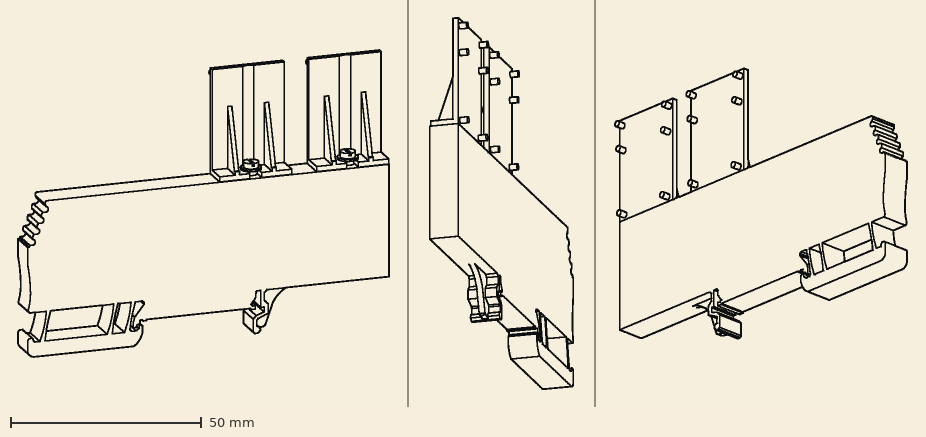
import cadquery as cq


length = 100.2
width = 7.9
housing_top = 42.7
rear_floor = 11.7
rail_floor = 7.0
front_floor = 12.2

top_front_y = 4.8
top_corner_radius = 0.6
seat_bead = 0.3

notch_count = 4
notch_step_y = 1.2
notch_step_z = 2.9
notch_back_y = 5.7
notch_mouth_y = 5.1
notch_floor_end_y = 4.2
notch_tip_y = 3.8
notch_floor_z = 39.6
notch_height = 1.5
tip_drop = 0.8

foot_top = 4.1
foot_corner_radius = 1.9
foot_lip_top = 5.2
foot_lip_radius = 0.8
leg_starts_y = (29.9, 25.1, 6.4)
leg_sweep = 1.6
leg_top_width = 1.2
leg_bottom_width = 1.4
leg_middle_z = (front_floor + foot_top) / 2
leg_middle_sweep = 1.0
leg_middle_width = 0.8

web_thickness = 1.6
web_x = (width - web_thickness) / 2

bracket_length = 20.0
bracket_rear_ends = (length, length - 26.9)
plate_thickness = 1.5
plate_top = 71.8
base_width = 7.6
base_thickness = 1.4
base_top = housing_top + base_thickness

gusset_thickness = 1.2
gusset_offset = 5.1
gusset_height = 17.0
gusset_toe_width = 0.6
gusset_toe_height = 0.9

pin_length = 2.1
pin_radius = 0.8
pin_rows = ((69.9, 8.8), (62.7, 8.4), (44.1, 8.1))

screw_x = 3.7
flange_radius = 2.7
flange_thickness = 0.5
head_radius = 2.0
head_height = 1.5
shank_radius = 1.6
thread_depth = 4.0
driver_slot_width = 0.6
driver_slot_depth = 0.7


def housing_outline():
    """Side outline of the housing's main body, clip included."""
    outline = cq.Workplane("YZ").moveTo(length, rear_floor).lineTo(length, housing_top)
    outline = outline.lineTo(top_front_y + top_corner_radius, housing_top)
    outline = outline.tangentArcPoint((top_front_y, housing_top - top_corner_radius), relative=False)
    outline = outline.lineTo(top_front_y, 41.8)

    outline = outline.lineTo(notch_mouth_y, notch_floor_z + notch_height)
    for i in range(notch_count):
        dy = -i * notch_step_y
        floor_z = notch_floor_z - i * notch_step_z
        outline = outline.threePointArc(
            (notch_back_y + dy, floor_z + notch_height / 2), (notch_mouth_y + dy, floor_z)
        )
        outline = outline.lineTo(notch_floor_end_y + dy, floor_z)
        if i < notch_count - 1:
            outline = outline.threePointArc(
                (notch_tip_y + dy, floor_z - tip_drop),
                (notch_mouth_y + dy - notch_step_y, floor_z - notch_step_z + notch_height),
            )

    outline = outline.lineTo(0.4, 30.4).lineTo(0, 30.4).lineTo(0, 25.6)
    outline = outline.threePointArc((0.04, 25.3), (0.14, 25.0))
    outline = outline.threePointArc((0.6, 21.3), (0.8, 17.6))
    outline = outline.threePointArc((0.6, 15.1), (0.2, 13.2))
    outline = outline.threePointArc((0.2, 12.6), (0.6, front_floor))

    outline = outline.lineTo(31.8, front_floor).lineTo(32.3, 11.8).lineTo(32.3, 11.3)
    outline = outline.lineTo(29.7, 8.0).lineTo(29.3, 6.6).lineTo(29.3, 5.1)
    outline = outline.lineTo(30.1, 5.1).lineTo(30.3, 5.8).lineTo(31.2, 6.1)
    outline = outline.lineTo(31.2, rail_floor).lineTo(31.9, rail_floor)
    outline = outline.lineTo(32.1, rail_floor - seat_bead).lineTo(32.9, rail_floor - seat_bead)
    outline = outline.lineTo(33.1, rail_floor)

    outline = outline.lineTo(61.9, rail_floor)
    outline = outline.lineTo(61.9, rail_floor - seat_bead).lineTo(63.2, rail_floor - seat_bead)
    outline = outline.lineTo(63.2, 7.8).lineTo(62.5, 7.6).lineTo(62.0, 8.1)
    outline = outline.lineTo(63.2, 9.7).lineTo(63.4, 11.3).lineTo(63.6, rear_floor)

    outline = outline.lineTo(64.7, rear_floor).lineTo(64.7, 7.0).lineTo(65.6, 7.0)
    outline = outline.lineTo(65.6, 5.7).lineTo(63.4, 4.9).lineTo(62.6, 4.0)
    outline = outline.lineTo(62.6, 0.4).lineTo(63.0, 0).lineTo(63.9, 0)
    outline = outline.lineTo(64.6, 0.7).threePointArc((64.4, 1.5), (63.6, 1.9))
    outline = outline.lineTo(63.6, 3.6).lineTo(64.0, 4.0).lineTo(65.7, 4.8)
    outline = outline.lineTo(66.8, 5.2).lineTo(66.8, 7.7).lineTo(65.7, 8.9)
    return outline.lineTo(65.7, 11.0).lineTo(66.4, rear_floor).close()


def foot():
    """Foot bar with a raised lip at the front and a hooked nose at the rear."""
    outline = cq.Workplane("YZ").moveTo(29.4, 0).lineTo(foot_corner_radius, 0)
    outline = outline.tangentArcPoint((0, foot_corner_radius), relative=False)
    outline = outline.lineTo(0, foot_lip_top - foot_lip_radius)
    outline = outline.tangentArcPoint((foot_lip_radius, foot_lip_top), relative=False)
    outline = outline.lineTo(1.3, foot_lip_top)
    outline = outline.lineTo(1.9, foot_top).lineTo(27.1, foot_top).lineTo(28.4, 6.0)
    outline = outline.lineTo(28.4, 4.8).lineTo(28.8, 4.2).lineTo(30.1, 4.2)
    outline = outline.lineTo(30.9, 4.8).lineTo(30.9, 5.8).lineTo(31.9, 5.4)
    outline = outline.lineTo(31.9, 3.6).threePointArc((31.3, 2.0), (30.3, 0.6))
    return outline.close().extrude(width)


def leg(rear_y):
    """Curved leg that carries the foot below the housing."""
    bottom_y = rear_y - leg_sweep
    middle_y = rear_y - leg_middle_sweep
    outline = cq.Workplane("YZ").moveTo(rear_y, front_floor)
    outline = outline.threePointArc((middle_y, leg_middle_z), (bottom_y, foot_top))
    outline = outline.lineTo(bottom_y - leg_bottom_width, foot_top)
    outline = outline.threePointArc(
        (middle_y - leg_middle_width, leg_middle_z), (rear_y - leg_top_width, front_floor)
    )
    return outline.close().extrude(width)


def clip_web():
    """Thin web behind the clip arm, under the housing's rear floor."""
    outline = cq.Workplane("YZ", origin=(web_x, 0, 0)).moveTo(76.0, rear_floor)
    outline = outline.threePointArc((71.9, 10.1), (69.2, 7.1)).lineTo(67.0, 0.9)
    outline = outline.lineTo(66.4, 0.6).lineTo(63.7, 0.2).lineTo(63.2, 4.2)
    return outline.lineTo(66.2, 5.2).lineTo(65.2, rear_floor).close().extrude(web_thickness)


def cylinder_up(y, bottom_z, radius, height):
    """Vertical cylinder on a screw axis."""
    return cq.Workplane("XY", origin=(screw_x, y, bottom_z)).circle(radius).extrude(height)


def make_housing():
    """Housing with its foot and clip, and a blind hole for each screw."""
    body = housing_outline().extrude(width).union(foot()).union(clip_web())
    for rear_y in leg_starts_y:
        body = body.union(leg(rear_y))
    for rear_end in bracket_rear_ends:
        middle = rear_end - bracket_length / 2
        body = body.cut(cylinder_up(middle, housing_top - thread_depth, shank_radius, thread_depth))
    return body


def gusset(middle_y):
    """Triangular rib between the plate and the base."""
    outline = cq.Workplane("XZ", origin=(0, middle_y + gusset_thickness / 2, base_top))
    outline = outline.moveTo(plate_thickness, 0).lineTo(plate_thickness, gusset_height)
    outline = outline.lineTo(base_width - gusset_toe_width, gusset_toe_height)
    outline = outline.lineTo(base_width, gusset_toe_height).lineTo(base_width, 0)
    return outline.close().extrude(gusset_thickness)


def make_bracket(rear_end):
    """L-shaped marker bracket with gussets, pins and room for its screw."""
    middle = rear_end - bracket_length / 2

    profile = cq.Workplane("XZ", origin=(0, rear_end, 0)).moveTo(0, housing_top)
    profile = profile.lineTo(base_width, housing_top).lineTo(base_width, base_top)
    profile = profile.lineTo(plate_thickness, base_top).lineTo(plate_thickness, plate_top)
    bracket = profile.lineTo(0, plate_top).close().extrude(bracket_length)

    for side in (-1, 1):
        bracket = bracket.union(gusset(middle + side * gusset_offset))
        for pin_z, pin_offset in pin_rows:
            pin = cq.Workplane("YZ").center(middle + side * pin_offset, pin_z)
            bracket = bracket.union(pin.circle(pin_radius).extrude(-pin_length))

    slot = cylinder_up(middle, housing_top, shank_radius, base_thickness).union(
        cq.Workplane("XY", origin=(screw_x, middle - shank_radius, housing_top))
        .rect(base_width - screw_x, 2 * shank_radius, centered=False)
        .extrude(base_thickness)
    )
    groove = cylinder_up(middle, base_top, flange_radius, plate_top - base_top)
    return bracket.cut(slot).cut(groove)


def make_screw(rear_end):
    """Flanged screw with a driver slot."""
    middle = rear_end - bracket_length / 2
    flange_top = base_top + flange_thickness
    head_top = flange_top + head_height

    shank = cylinder_up(middle, housing_top - thread_depth, shank_radius, thread_depth + base_thickness)
    flange = cylinder_up(middle, base_top, flange_radius, flange_thickness)
    head = cylinder_up(middle, flange_top, head_radius, head_height)
    driver_slot = cq.Workplane("XY", origin=(screw_x, middle, head_top))
    driver_slot = driver_slot.rect(2 * head_radius, driver_slot_width).extrude(-driver_slot_depth)
    return shank.union(flange).union(head.cut(driver_slot))


housing = make_housing()
brackets = [make_bracket(rear_end) for rear_end in bracket_rear_ends]
screws = [make_screw(rear_end) for rear_end in bracket_rear_ends]

result = cq.Compound.makeCompound(
    [housing.val()] + [bracket.val() for bracket in brackets] + [screw.val() for screw in screws]
)